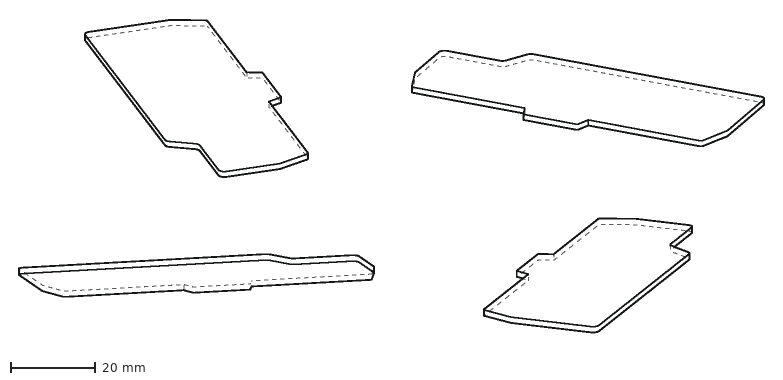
import cadquery as cq

length = 82.0
width = 33.5
thickness = 1.5

shoulder_y = 30.0
slope_start_y = 21.8
slope_run = 2.95

tab_base_width = 16.7
tab_top_width = 14.1

step_y = 6.9
step_top_x = 65.85
step_bottom_x = 61.9

large_radius = 1.5
small_radius = 0.7
tab_radius = 0.25

middle_x = length / 2

outline = [
    (0, 0),
    (step_bottom_x, 0),
    (step_top_x, step_y),
    (length, step_y),
    (length, slope_start_y),
    (length - slope_run, shoulder_y),
    (middle_x + tab_base_width / 2, shoulder_y),
    (middle_x + tab_top_width / 2, width),
    (middle_x - tab_top_width / 2, width),
    (middle_x - tab_base_width / 2, shoulder_y),
    (slope_run, shoulder_y),
    (0, slope_start_y),
]
large_corners = [
    (0, 0),
    (step_bottom_x, 0),
    (step_top_x, step_y),
    (length, step_y),
]
small_corners = [
    (length, slope_start_y),
    (length - slope_run, shoulder_y),
    (slope_run, shoulder_y),
    (0, slope_start_y),
]
tab_corners = [
    (middle_x - tab_top_width / 2, width),
    (middle_x + tab_top_width / 2, width),
]


def round_corners(plate, corners, radius):
    """Round the vertical edges that stand at the given outline corners."""
    for x, y in corners:
        nearest = cq.selectors.NearestToPointSelector((x, y, thickness / 2))
        plate = plate.edges("|Z").edges(nearest).fillet(radius)
    return plate


result = cq.Workplane("XY").polyline(outline).close().extrude(thickness)
result = round_corners(result, large_corners, large_radius)
result = round_corners(result, small_corners, small_radius)
result = round_corners(result, tab_corners, tab_radius)